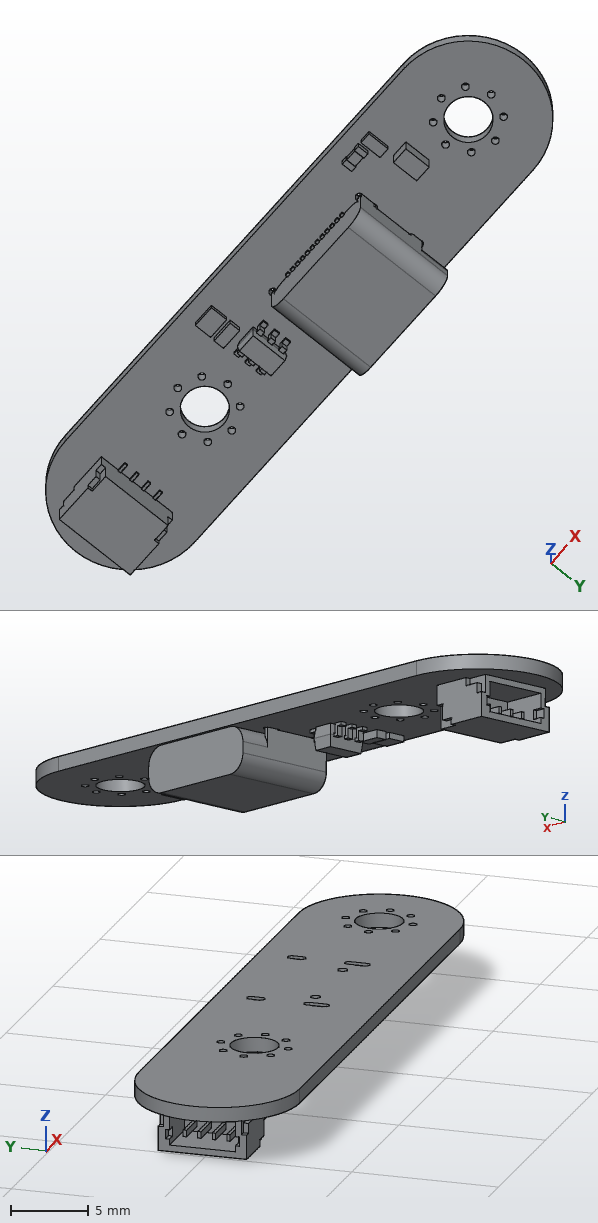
import cadquery as cq
import math


BOARD_LENGTH = 45.0
BOARD_WIDTH = 11.0
BOARD_THICKNESS = 1.0
END_RADIUS = BOARD_WIDTH / 2
END_CENTER_X = BOARD_LENGTH / 2 - END_RADIUS
BIG_HOLE_DIAMETER = 3.2
RING_HOLE_DIAMETER = 0.5
RING_HOLE_COUNT = 8
RING_RADIUS = 2.3
LEFT_HOLE_X = -9.5
BIG_HOLE_XS = (LEFT_HOLE_X, END_CENTER_X)
SOLDER_GAP = 0.1

USB_X = 3.95
USB_WIDTH = 8.95
USB_HEIGHT = 3.3
USB_FRONT_Y = BOARD_WIDTH / 2
USB_REAR_Y = -1.95
USB_CORNER_RADIUS = 1.2
LEG_THICKNESS = 0.25
LEG_FRONT_Y = 3.3
LEG_X_OFFSET = (USB_WIDTH - LEG_THICKNESS) / 2
TAB_TOP_Z = 0.8
TAB_CHAMFER = 0.22
SLOT_WIDTH = 0.55
FRONT_TAB_Y = 2.85
FRONT_TAB_LENGTH = 0.9
FRONT_SLOT_LENGTH = 1.2
REAR_TAB_Y = -1.3
REAR_TAB_LENGTH = 1.1
REAR_SLOT_LENGTH = 1.7
PEG_X_OFFSET = 2.9
PEG_Y = -0.75
PEG_DIAMETER = 0.5
PEG_HOLE_DIAMETER = 0.65
PEG_CHAMFER = 0.1
USB_PIN_COUNT = 12
USB_PIN_PITCH = 0.5
USB_PIN_WIDTH = 0.25
USB_PIN_HEIGHT = 0.2
USB_PIN_REACH = 0.2

HEADER_FRONT_X = -20.55
HEADER_DEPTH = 4.25
HEADER_REAR_X = HEADER_FRONT_X + HEADER_DEPTH
HEADER_WIDTH = 6.05
HEADER_BOTTOM_Z = -2.95
MOUTH_WIDTH = 4.5
MOUTH_TOP_Z = -0.5
MOUTH_BOTTOM_Z = -2.5
MOUTH_DEPTH = 3.15
KEYWAY_REACH = 0.25
KEYWAY_TOP_Z = -1.5
KEYWAY_BOTTOM_Z = -2.1
KEYWAY_DEPTH = 0.68
NOTCH_DEPTH = 0.35
FRONT_NOTCH_LONG = 1.5
FRONT_NOTCH_SHALLOW_Z = -0.65
FRONT_NOTCH_SHORT = 0.4
FRONT_NOTCH_DEEP_Z = -1.3
REAR_NOTCH_LONG = 1.35
REAR_NOTCH_LOW_Z = -2.5
REAR_NOTCH_SHORT = 0.55
REAR_NOTCH_HIGH_Z = -1.45
CONTACT_COUNT = 4
CONTACT_PITCH = 1.0
CONTACT_WIDTH = 0.22
CONTACT_TOP_Z = -1.7
CONTACT_HEIGHT = 0.45
CONTACT_LENGTH = 2.25
FOOT_REACH = 0.68
FOOT_HEIGHT = 0.2

PACKAGE_X = -3.75
PACKAGE_Y = 0.0
PACKAGE_LENGTH = 2.9
PACKAGE_WIDTH = 1.58
PACKAGE_DRAFT = 0.1
PACKAGE_BOTTOM_Z = -1.65
PARTING_Z = -0.85
LEAD_SPAN = 2.95
SHOULDER_SPAN = 2.25
LEAD_WIDTH = 0.4
LEAD_THICKNESS = 0.22
LEAD_PITCH = 0.95
LEAD_ROWS = 3

FRONT_CHIP = (-4.45, -3.75, 1.6, 1.3, -0.5)
REAR_CHIP = (-4.45, -2.4, 1.6, 0.8, -0.65)
NARROW_CHIP = (11.85, -3.6, 0.8, 1.6, -0.5)
TALL_CHIP = (12.6, -1.12, 1.25, 2.0, -1.3)
CAPPED_CHIP = (10.35, -4.0, 1.6, 0.8, -0.65)
CAP_LENGTH = 0.4
CORE_INSET = 0.05


def block(x_range, y_range, z_range):
    """A box between two limits on each axis."""
    limits = (x_range, y_range, z_range)
    sizes = [max(pair) - min(pair) for pair in limits]
    corner = tuple(min(pair) for pair in limits)
    return cq.Workplane("XY").box(*sizes, centered=False).translate(corner)


def span(center, size):
    return (center - size / 2, center + size / 2)


def row(count, pitch):
    """Places of evenly spaced items, centred on zero."""
    return [(i - (count - 1) / 2) * pitch for i in range(count)]


def upright_cylinder(x, y, diameter, height):
    return cq.Workplane("XY").center(x, y).circle(diameter / 2).extrude(height)


def make_board():
    board = cq.Workplane("XY").slot2D(BOARD_LENGTH, BOARD_WIDTH).extrude(BOARD_THICKNESS)
    for x in BIG_HOLE_XS:
        board = board.cut(upright_cylinder(x, 0, BIG_HOLE_DIAMETER, BOARD_THICKNESS))
        for i in range(RING_HOLE_COUNT):
            angle = 2 * math.pi * i / RING_HOLE_COUNT
            hole_x = x + RING_RADIUS * math.cos(angle)
            hole_y = RING_RADIUS * math.sin(angle)
            board = board.cut(upright_cylinder(hole_x, hole_y, RING_HOLE_DIAMETER, BOARD_THICKNESS))
    for side in (-1, 1):
        leg_x = USB_X + side * LEG_X_OFFSET
        for y, length in ((FRONT_TAB_Y, FRONT_SLOT_LENGTH), (REAR_TAB_Y, REAR_SLOT_LENGTH)):
            slot = cq.Workplane("XY").center(leg_x, y).slot2D(length, SLOT_WIDTH, 90)
            board = board.cut(slot.extrude(BOARD_THICKNESS))
        peg_x = USB_X + side * PEG_X_OFFSET
        board = board.cut(upright_cylinder(peg_x, PEG_Y, PEG_HOLE_DIAMETER, BOARD_THICKNESS))
    return board


def make_usb_socket():
    shell = block(span(USB_X, USB_WIDTH), (USB_REAR_Y, USB_FRONT_Y), (-USB_HEIGHT, -SOLDER_GAP))
    shell = shell.edges("|Y").fillet(USB_CORNER_RADIUS)
    for side in (-1, 1):
        leg_x = span(USB_X + side * LEG_X_OFFSET, LEG_THICKNESS)
        shell = shell.union(block(leg_x, (USB_REAR_Y, LEG_FRONT_Y), (-USB_HEIGHT / 2, 0)))
        for y, length in ((FRONT_TAB_Y, FRONT_TAB_LENGTH), (REAR_TAB_Y, REAR_TAB_LENGTH)):
            tab = block(leg_x, span(y, length), (-USB_HEIGHT / 2, TAB_TOP_Z))
            shell = shell.union(tab.faces(">Z").edges("|X").chamfer(TAB_CHAMFER))
        peg_height = TAB_TOP_Z + USB_HEIGHT / 2
        peg = upright_cylinder(USB_X + side * PEG_X_OFFSET, PEG_Y, PEG_DIAMETER, peg_height)
        peg = peg.faces(">Z").chamfer(PEG_CHAMFER)
        shell = shell.union(peg.translate((0, 0, -USB_HEIGHT / 2)))
    pin_y = (USB_REAR_Y - USB_PIN_REACH, USB_REAR_Y + USB_PIN_REACH)
    pin_z = (-SOLDER_GAP - USB_PIN_HEIGHT, -SOLDER_GAP)
    for offset in row(USB_PIN_COUNT, USB_PIN_PITCH):
        shell = shell.union(block(span(USB_X + offset, USB_PIN_WIDTH), pin_y, pin_z))
    return shell


def make_header():
    rear_x = HEADER_REAR_X
    front_x = HEADER_FRONT_X
    top_z = -SOLDER_GAP
    header = block((front_x, rear_x), span(0, HEADER_WIDTH), (HEADER_BOTTOM_Z, top_z))

    mouth_floor_x = front_x + MOUTH_DEPTH
    mouth_z = (MOUTH_BOTTOM_Z, MOUTH_TOP_Z)
    header = header.cut(block((front_x, mouth_floor_x), span(0, MOUTH_WIDTH), mouth_z))
    keyways = block(
        (front_x, front_x + KEYWAY_DEPTH),
        span(0, MOUTH_WIDTH + 2 * KEYWAY_REACH),
        (KEYWAY_BOTTOM_Z, KEYWAY_TOP_Z),
    )
    header = header.cut(keyways)

    for side in (-1, 1):
        flank_y = side * HEADER_WIDTH / 2
        notch_y = (flank_y - side * NOTCH_DEPTH, flank_y)
        notches = (
            ((front_x, front_x + FRONT_NOTCH_LONG), (FRONT_NOTCH_SHALLOW_Z, top_z)),
            ((front_x, front_x + FRONT_NOTCH_SHORT), (FRONT_NOTCH_DEEP_Z, top_z)),
            ((rear_x - REAR_NOTCH_LONG, rear_x), (HEADER_BOTTOM_Z, REAR_NOTCH_LOW_Z)),
            ((rear_x - REAR_NOTCH_SHORT, rear_x), (HEADER_BOTTOM_Z, REAR_NOTCH_HIGH_Z)),
        )
        for notch_x, notch_z in notches:
            header = header.cut(block(notch_x, notch_y, notch_z))

    contact_x = (mouth_floor_x - CONTACT_LENGTH, mouth_floor_x)
    contact_z = (CONTACT_TOP_Z - CONTACT_HEIGHT, CONTACT_TOP_Z)
    foot_x = (rear_x, rear_x + FOOT_REACH)
    foot_z = (top_z - FOOT_HEIGHT, top_z)
    for y in row(CONTACT_COUNT, CONTACT_PITCH):
        contact_y = span(y, CONTACT_WIDTH)
        header = header.union(block(contact_x, contact_y, contact_z))
        header = header.union(block(foot_x, contact_y, foot_z))
    return header


def make_gull_wing_package():
    package = None
    for end_z in (-SOLDER_GAP, PACKAGE_BOTTOM_Z):
        half = (
            cq.Workplane("XY", origin=(PACKAGE_X, PACKAGE_Y, PARTING_Z))
            .rect(PACKAGE_WIDTH, PACKAGE_LENGTH)
            .workplane(offset=end_z - PARTING_Z)
            .rect(PACKAGE_WIDTH - 2 * PACKAGE_DRAFT, PACKAGE_LENGTH - 2 * PACKAGE_DRAFT)
            .loft(ruled=True)
        )
        package = half if package is None else package.union(half)

    shoulder_z = span(PARTING_Z, LEAD_THICKNESS)
    foot_z = (-SOLDER_GAP - LEAD_THICKNESS, -SOLDER_GAP)
    shoulder_end = SHOULDER_SPAN / 2
    for side in (-1, 1):
        for offset in row(LEAD_ROWS, LEAD_PITCH):
            lead_y = span(PACKAGE_Y + offset, LEAD_WIDTH)
            upright_x = (side * (shoulder_end - LEAD_THICKNESS), side * shoulder_end)
            lead = block((0, side * shoulder_end), lead_y, shoulder_z)
            lead = lead.union(block(upright_x, lead_y, (shoulder_z[0], -SOLDER_GAP)))
            lead = lead.union(block((upright_x[0], side * LEAD_SPAN / 2), lead_y, foot_z))
            package = package.union(lead.translate((PACKAGE_X, 0, 0)))
    return package


def make_plain_chip(x, y, x_size, y_size, bottom_z):
    return block(span(x, x_size), span(y, y_size), (bottom_z, -SOLDER_GAP))


def make_capped_chip(x, y, x_size, y_size, bottom_z):
    """A chip along X whose end caps stand proud of its core."""
    core_z = (bottom_z + CORE_INSET, -SOLDER_GAP)
    chip = block(span(x, x_size), span(y, y_size - 2 * CORE_INSET), core_z)
    for side in (-1, 1):
        end_x = x + side * x_size / 2
        cap_x = (end_x - side * CAP_LENGTH, end_x)
        chip = chip.union(block(cap_x, span(y, y_size), (bottom_z, -SOLDER_GAP)))
    return chip


board = make_board()
usb_socket = make_usb_socket()
header = make_header()
gull_wing_package = make_gull_wing_package()
plain_chips = [make_plain_chip(*sizes) for sizes in (FRONT_CHIP, REAR_CHIP, NARROW_CHIP, TALL_CHIP)]
capped_chip = make_capped_chip(*CAPPED_CHIP)

result = cq.Compound.makeCompound(
    [
        board.val(),
        usb_socket.val(),
        header.val(),
        gull_wing_package.val(),
        *[chip.val() for chip in plain_chips],
        capped_chip.val(),
    ]
)